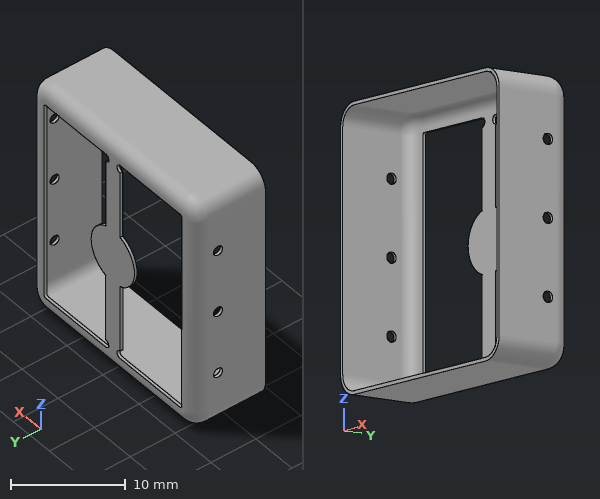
import cadquery as cq

width = 23.0
depth = 7.8
height = 26.0
wall = 0.35
floor = 0.3
corner_radius = 2.0
back_edge_radius = 1.48

window_margin = 1.95
window_corner_radius = 0.25
strap_width = 2.0
disc_diameter = 6.0
relief_radius = 0.42

hole_diameter = 1.0
hole_pitch = 7.0
hole_from_back = 2.5

back_y = depth / 2
inner_back_y = back_y - floor
window_width = width - 2 * window_margin
window_height = height - 2 * window_margin


def rounded_block(size_x, size_z, front_y, rear_y, corner, rear_edge):
    """Block with rounded Y edges and a rounded rear rim."""
    block = (
        cq.Workplane("XY")
        .box(size_x, rear_y - front_y, size_z)
        .translate((0, (front_y + rear_y) / 2, 0))
    )
    return block.edges("|Y").fillet(corner).faces(">Y").edges().fillet(rear_edge)


def floor_prism(sketch):
    """Extrude an XZ outline through the floor thickness."""
    return sketch.extrude(floor).translate((0, back_y, 0))


def make_tray():
    outer = rounded_block(width, height, -back_y, back_y, corner_radius, back_edge_radius)
    cavity = rounded_block(
        width - 2 * wall,
        height - 2 * wall,
        -back_y,
        inner_back_y,
        corner_radius - wall,
        back_edge_radius - wall,
    )
    return outer.cut(cavity)


def make_window():
    window = floor_prism(cq.Workplane("XZ").rect(window_width, window_height))
    return window.edges("|Y").fillet(window_corner_radius)


def make_strap():
    strap = floor_prism(cq.Workplane("XZ").rect(strap_width, window_height))
    disc = floor_prism(cq.Workplane("XZ").circle(disc_diameter / 2))
    reliefs = floor_prism(
        cq.Workplane("XZ")
        .rect(strap_width, window_height - 2 * relief_radius, forConstruction=True)
        .vertices()
        .circle(relief_radius)
    )
    return strap.union(disc).cut(reliefs)


def make_side_holes():
    return (
        cq.Workplane("YZ")
        .center(back_y - hole_from_back, 0)
        .rarray(0.25, hole_pitch, 1, 3)
        .circle(hole_diameter / 2)
        .extrude(width / 2, both=True)
    )


result = make_tray().cut(make_window()).union(make_strap()).cut(make_side_holes())